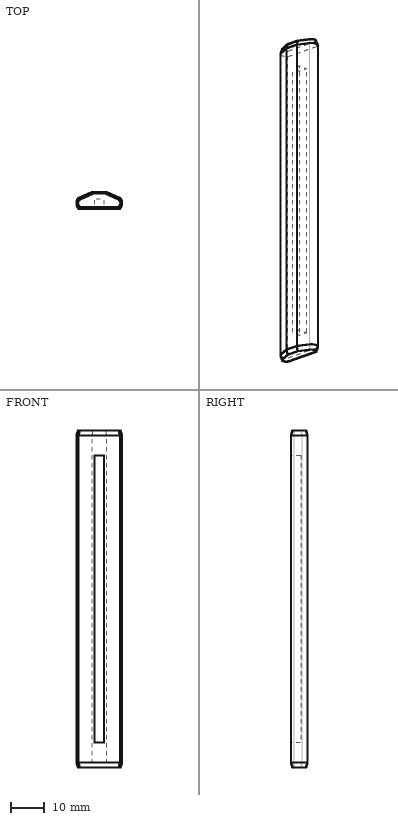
import cadquery as cq
import math

length = 100.0
width = 13.6
thickness = 5.0

front_width = 12.2
front_bevel_depth = 0.9
crest_width = 4.2
slope_angle = 24.0
side_radius = 1.8

end_taper_length = 1.5
end_taper_inset = 0.5

slot_width = 2.8
slot_length = 85.0
slot_depth = 3.0

front_y = -thickness / 2
back_y = thickness / 2


def bar_body():
    """Constant-section middle of the bar, running along Z and centred on the origin."""
    slope = math.radians(slope_angle)
    bevel_y = front_y + front_bevel_depth

    arc_end = math.pi / 2 - slope
    arc_center_x = width / 2 - side_radius
    arc_end_x = arc_center_x + side_radius * math.cos(arc_end)
    arc_end_y = back_y - (arc_end_x - crest_width / 2) * math.tan(slope)
    arc_center_y = arc_end_y - side_radius * math.sin(arc_end)
    arc_start = math.asin((bevel_y - arc_center_y) / side_radius)

    def arc_point(side, angle):
        x = arc_center_x + side_radius * math.cos(angle)
        y = arc_center_y + side_radius * math.sin(angle)
        return (side * x, y)

    section = (
        cq.Workplane("XY")
        .moveTo(-front_width / 2, front_y)
        .lineTo(front_width / 2, front_y)
        .lineTo(*arc_point(1, arc_start))
        .threePointArc(arc_point(1, 0), arc_point(1, arc_end))
        .lineTo(crest_width / 2, back_y)
        .lineTo(-crest_width / 2, back_y)
        .lineTo(*arc_point(-1, arc_end))
        .threePointArc(arc_point(-1, 0), arc_point(-1, arc_start))
        .close()
    )
    return section.extrude(length / 2 - end_taper_length, both=True)


def add_tapered_ends(body):
    """Extend both ends with caps that shrink evenly all round the section."""
    taper_angle = math.degrees(math.atan2(end_taper_inset, end_taper_length))
    for end in (">Z", "<Z"):
        body = body.faces(end).wires().toPending().workplane()
        body = body.extrude(end_taper_length, taper=taper_angle)
    return body


def slot():
    return (
        cq.Workplane("XY")
        .box(slot_width, slot_depth, slot_length, centered=(True, False, True))
        .translate((0, front_y, 0))
    )


result = add_tapered_ends(bar_body()).cut(slot())